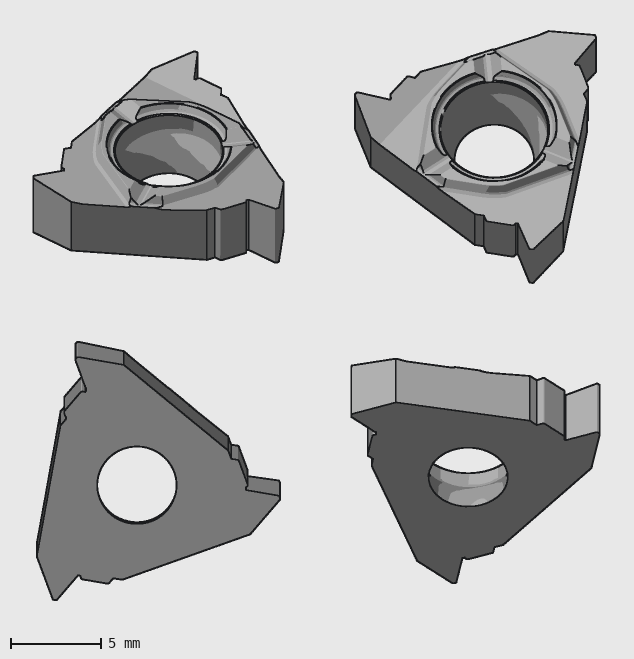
import cadquery as cq
import math

TEETH = 3
PITCH_ANGLE = 360 / TEETH
SIDE_DISTANCE = 4.76

FLANK_ANGLE = 60
TIP_Y = 7.21
OUTER_FLANK_DISTANCE = 6.6
INNER_FLANK_DISTANCE = 0.79
TIP_ROUND = 0.08
ROOT_Y = 5.6
ROOT_WIDTH = 0.12
CREST_Y = 5.79
CREST_START_X = -2.11
CREST_END_X = -0.58
SHOULDER_Y = 5.43
SHOULDER_START_X = -0.37
CREST_ROUND = 0.12

TOP_Z = 4.1
FLOOR_Z = 3.52
RAKE_ANGLE = 10
RAKE_START_Y = 4.34
RAKE_ROUND = 0.41
BLANK_SIZE = 20.72

BOSS_DRAFT = 27
BOSS_FRONT_DISTANCE = 3.74
BOSS_BACK_DISTANCE = 3.63
BOSS_END_DISTANCE = 4.28
BOSS_FRONT_NORMAL = 90
BOSS_BACK_NORMAL = 122
BOSS_END_NORMAL = 180
BOSS_FOOT_ROUND = 0.3
BOSS_END_FOOT_ROUND = 0.12
BOSS_END_FLOOR_Z = 3.6
BOSS_CORNER_ROUND = 0.69
TOP_EDGE_ROUND = 0.04

GROOVE_ANGLE = 165.5
GROOVE_TOP_HALF_WIDTH = 0.76
GROOVE_FLOOR_HALF_WIDTH = 0.14
GROOVE_FLOOR_Z = BOSS_END_FLOOR_Z
GROOVE_FLOOR_ROUND = 0.28

HOLE_RADIUS = 2.2
SEAT_RADIUS = 2.98
SEAT_WALL_BOTTOM_Z = 2.7
SEAT_ANGLE = 33
SEAT_TOP_RADIUS = 2.87
RIM_RADIUS = 3.45
LEDGE_RADIUS = 3.25
LEDGE_Z = 3.69
LEDGE_ROUND = 0.23
LEDGE_EDGE_ROUND = 0.07


def sin(angle):
    return math.sin(math.radians(angle))


def cos(angle):
    return math.cos(math.radians(angle))


def tan(angle):
    return math.tan(math.radians(angle))


def polar(radius, angle):
    return (radius * cos(angle), radius * sin(angle))


def turned(point, angle):
    x, y = point
    return (x * cos(angle) - y * sin(angle), x * sin(angle) + y * cos(angle))


def turned_solid(body, angle):
    return body.rotate((0, 0, 0), (0, 0, 1), angle)


def line_meet(distance_1, normal_1, distance_2, normal_2):
    """Meeting point of two lines given by distance from the axis and normal angle."""
    spread = sin(normal_2 - normal_1)
    x = (distance_1 * sin(normal_2) - distance_2 * sin(normal_1)) / spread
    y = (distance_2 * cos(normal_1) - distance_1 * cos(normal_2)) / spread
    return (x, y)


def rounded_corner(before, corner, after, radius):
    """Start, middle and end of the arc that rounds a corner between two straight lines."""
    length_in = math.dist(corner, before)
    length_out = math.dist(corner, after)
    unit_in = ((before[0] - corner[0]) / length_in, (before[1] - corner[1]) / length_in)
    unit_out = ((after[0] - corner[0]) / length_out, (after[1] - corner[1]) / length_out)
    half_cos = math.hypot(unit_in[0] + unit_out[0], unit_in[1] + unit_out[1]) / 2
    half_sin = math.sqrt(1 - half_cos**2)
    setback = radius * half_cos / half_sin
    pull = (radius / half_sin - radius) / (2 * half_cos)
    start = (corner[0] + setback * unit_in[0], corner[1] + setback * unit_in[1])
    middle = (corner[0] + pull * (unit_in[0] + unit_out[0]), corner[1] + pull * (unit_in[1] + unit_out[1]))
    end = (corner[0] + setback * unit_out[0], corner[1] + setback * unit_out[1])
    return start, middle, end


def tooth_points():
    """Outline of one tooth, clockwise from the long side on its left."""
    outer_normal = 90 + FLANK_ANGLE
    inner_normal = 90 - FLANK_ANGLE
    root_start = line_meet(INNER_FLANK_DISTANCE, inner_normal, ROOT_Y, 90)
    return [
        line_meet(SIDE_DISTANCE, 180, OUTER_FLANK_DISTANCE, outer_normal),
        line_meet(OUTER_FLANK_DISTANCE, outer_normal, TIP_Y, 90),
        line_meet(INNER_FLANK_DISTANCE, inner_normal, TIP_Y, 90),
        root_start,
        (root_start[0] + ROOT_WIDTH, ROOT_Y),
        (CREST_START_X, CREST_Y),
        (CREST_END_X, CREST_Y),
        (SHOULDER_START_X, SHOULDER_Y),
        line_meet(SIDE_DISTANCE, 60, SHOULDER_Y, 90),
    ]


def upright_edges_at(body, point):
    """Vertical edge of the body above one outline point."""
    reach = 0.01
    x, y = point
    box = cq.selectors.BoxSelector((x - reach, y - reach, -0.14), (x + reach, y + reach, TOP_Z + 0.14))
    return body.edges("|Z").edges(box)


def outline_prism():
    points = tooth_points()
    outline = [turned(p, -i * PITCH_ANGLE) for i in range(TEETH) for p in points]
    prism = cq.Workplane("XY").polyline(outline).close().extrude(TOP_Z)
    tip_corners = points[1:3]
    crest_corners = points[5:7]
    for i in range(TEETH):
        for corners, radius in ((tip_corners, TIP_ROUND), (crest_corners, CREST_ROUND)):
            for corner in corners:
                edge = upright_edges_at(prism, turned(corner, -i * PITCH_ANGLE))
                prism = edge.fillet(radius)
    return prism


def boss_side_profile(distance, floor_z=FLOOR_Z, foot_round=BOSS_FOOT_ROUND):
    """Section of the space beside the boss: rounded top edge, drafted wall, foot round and floor."""
    top_inside = (0, TOP_Z)
    wall_top = (distance, TOP_Z)
    wall_foot = (distance + (TOP_Z - floor_z) * tan(BOSS_DRAFT), floor_z)
    floor_end = (BLANK_SIZE, floor_z)
    edge_start, edge_middle, edge_end = rounded_corner(top_inside, wall_top, wall_foot, TOP_EDGE_ROUND)
    foot_start, foot_middle, foot_end = rounded_corner(wall_top, wall_foot, floor_end, foot_round)
    return (
        cq.Workplane("XZ")
        .moveTo(*edge_start)
        .threePointArc(edge_middle, edge_end)
        .lineTo(*foot_start)
        .threePointArc(foot_middle, foot_end)
        .lineTo(*floor_end)
        .lineTo(BLANK_SIZE, TOP_Z)
        .close()
    )


def straight_boss_side(profile, normal):
    return turned_solid(profile.extrude(BLANK_SIZE, both=True), normal)


def curved_boss_side(radius, start_angle, end_angle):
    cutter = boss_side_profile(radius).revolve(end_angle - start_angle, (0, 0), (0, 1))
    return turned_solid(cutter, start_angle)


def boss_sides():
    """Spaces beside one third of the boss: front, curve, rounded corner, back and end."""
    centre_offset = BOSS_FRONT_DISTANCE - BOSS_CORNER_ROUND
    corner_sweep = math.degrees(math.acos((BOSS_BACK_DISTANCE - BOSS_CORNER_ROUND) / centre_offset))
    corner_start = BOSS_BACK_NORMAL - corner_sweep
    corner = curved_boss_side(BOSS_CORNER_ROUND, corner_start, BOSS_BACK_NORMAL)
    end_profile = boss_side_profile(BOSS_END_DISTANCE, BOSS_END_FLOOR_Z, BOSS_END_FOOT_ROUND)
    return [
        straight_boss_side(boss_side_profile(BOSS_FRONT_DISTANCE), BOSS_FRONT_NORMAL),
        curved_boss_side(BOSS_FRONT_DISTANCE, BOSS_FRONT_NORMAL, corner_start),
        corner.translate((*polar(centre_offset, corner_start), 0)),
        straight_boss_side(boss_side_profile(BOSS_BACK_DISTANCE), BOSS_BACK_NORMAL),
        straight_boss_side(end_profile, BOSS_END_NORMAL),
    ]


def tooth_face_wedge():
    """Rising wedge over one tooth, standing on the floor."""
    base_z = FLOOR_Z - 0.14
    rise = (BLANK_SIZE - RAKE_START_Y) * tan(RAKE_ANGLE)
    outer_top = (BLANK_SIZE, FLOOR_Z + rise)
    blend_start, blend_middle, blend_end = rounded_corner(
        (0, FLOOR_Z), (RAKE_START_Y, FLOOR_Z), outer_top, RAKE_ROUND
    )
    profile = (
        cq.Workplane("YZ")
        .moveTo(blend_start[0], base_z)
        .lineTo(*blend_start)
        .threePointArc(blend_middle, blend_end)
        .lineTo(*outer_top)
        .lineTo(BLANK_SIZE, base_z)
        .close()
    )
    return profile.extrude(BLANK_SIZE, both=True)


def groove():
    """V groove running outward from the axis along +X."""
    edge_start, edge_middle, edge_end = rounded_corner(
        (BLANK_SIZE, TOP_Z),
        (GROOVE_TOP_HALF_WIDTH, TOP_Z),
        (GROOVE_FLOOR_HALF_WIDTH, GROOVE_FLOOR_Z),
        TOP_EDGE_ROUND,
    )
    floor_start, floor_middle, floor_end = rounded_corner(
        (GROOVE_TOP_HALF_WIDTH, TOP_Z),
        (GROOVE_FLOOR_HALF_WIDTH, GROOVE_FLOOR_Z),
        (0, GROOVE_FLOOR_Z),
        GROOVE_FLOOR_ROUND,
    )
    half_section = (
        cq.Workplane("YZ")
        .moveTo(0, TOP_Z)
        .lineTo(*edge_start)
        .threePointArc(edge_middle, edge_end)
        .lineTo(*floor_start)
        .threePointArc(floor_middle, floor_end)
        .lineTo(0, GROOVE_FLOOR_Z)
        .close()
    )
    half_groove = half_section.extrude(BLANK_SIZE)
    return half_groove.union(half_groove.mirror("XZ"))


def bore():
    """Hole, curved screw seat, straight wall and stepped rim as one turned cutter."""
    hollow_radius = (SEAT_RADIUS - SEAT_TOP_RADIUS) / (1 - cos(SEAT_ANGLE))
    bulge_radius = (SEAT_TOP_RADIUS - HOLE_RADIUS) / (1 - cos(SEAT_ANGLE))
    seat_top_z = SEAT_WALL_BOTTOM_Z - hollow_radius * sin(SEAT_ANGLE)
    seat_bottom_z = seat_top_z - bulge_radius * sin(SEAT_ANGLE)
    half = SEAT_ANGLE / 2
    hollow_middle = (
        SEAT_RADIUS - hollow_radius * (1 - cos(half)),
        SEAT_WALL_BOTTOM_Z - hollow_radius * sin(half),
    )
    bulge_middle = (
        HOLE_RADIUS + bulge_radius * (1 - cos(half)),
        seat_bottom_z + bulge_radius * sin(half),
    )
    rim_start, rim_middle, rim_end = rounded_corner(
        (BLANK_SIZE, TOP_Z), (RIM_RADIUS, TOP_Z), (LEDGE_RADIUS, LEDGE_Z), TOP_EDGE_ROUND
    )
    cutter = (
        cq.Workplane("XZ")
        .lineTo(HOLE_RADIUS, 0)
        .lineTo(HOLE_RADIUS, seat_bottom_z)
        .threePointArc(bulge_middle, (SEAT_TOP_RADIUS, seat_top_z))
        .threePointArc(hollow_middle, (SEAT_RADIUS, SEAT_WALL_BOTTOM_Z))
        .lineTo(SEAT_RADIUS, LEDGE_Z)
        .lineTo(LEDGE_RADIUS, LEDGE_Z)
        .lineTo(*rim_end)
        .threePointArc(rim_middle, rim_start)
        .lineTo(0, TOP_Z)
        .close()
        .revolve(360, (0, 0), (0, 1))
    )
    ledge_plane = cq.selectors.BoxSelector((-0.14, -0.14, LEDGE_Z - 0.01), (0.14, 0.14, LEDGE_Z + 0.01))
    for radius_index, radius in ((-1, LEDGE_ROUND), (0, LEDGE_EDGE_ROUND)):
        ledge_circles = cutter.edges("%CIRCLE").edges(ledge_plane)
        cutter = ledge_circles.edges(cq.selectors.RadiusNthSelector(radius_index)).fillet(radius)
    return cutter


blank = cq.Workplane("XY").rect(BLANK_SIZE, BLANK_SIZE).extrude(TOP_Z)
for side in boss_sides():
    for i in range(TEETH):
        blank = blank.cut(turned_solid(side, i * PITCH_ANGLE))
for i in range(TEETH):
    blank = blank.union(turned_solid(tooth_face_wedge(), i * PITCH_ANGLE))
    blank = blank.cut(turned_solid(groove(), GROOVE_ANGLE + i * PITCH_ANGLE))

result = outline_prism().intersect(blank).cut(bore())